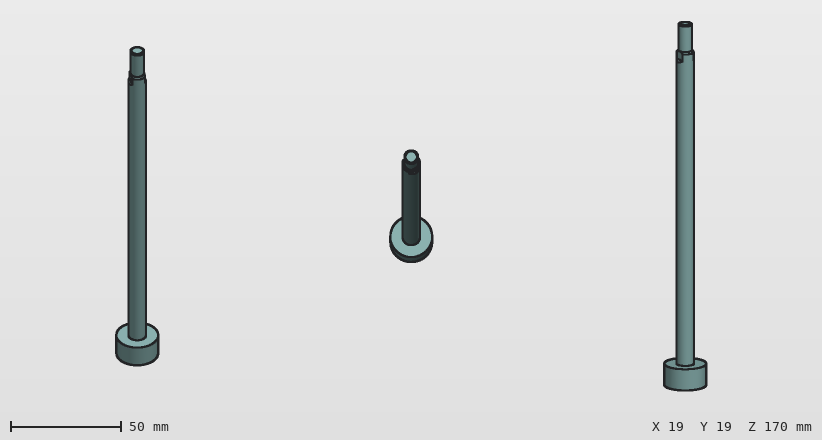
import cadquery as cq

total_length = 170.0
head_diameter = 19.0
head_height = 10.0
rod_diameter = 8.0
stud_diameter = 6.3
stud_length = 12.6

stud_chamfer = 0.5
shoulder_chamfer = (rod_diameter - stud_diameter) / 2

across_flats = 6.0
flat_length = 4.0

shoulder_z = total_length - stud_length
rod_radius = rod_diameter / 2


def cylinder(diameter, bottom_z, top_z):
    return cq.Workplane("XY").workplane(offset=bottom_z).circle(diameter / 2).extrude(top_z - bottom_z)


def flat_cutter(side):
    """Wedge that cuts one flat, ending in a 45 degree ramp; side is -1 or +1 along Y."""
    flat_y = across_flats / 2
    ramp_top_z = shoulder_z - flat_length
    ramp_bottom_z = ramp_top_z - (rod_radius - flat_y)
    profile = [
        (side * flat_y, shoulder_z),
        (side * flat_y, ramp_top_z),
        (side * rod_radius, ramp_bottom_z),
        (side * rod_radius, shoulder_z),
    ]
    return cq.Workplane("YZ").polyline(profile).close().extrude(rod_radius, both=True)


head = cylinder(head_diameter, 0, head_height)

rod = cylinder(rod_diameter, head_height, shoulder_z).faces(">Z").chamfer(shoulder_chamfer)
for side in (-1, 1):
    rod = rod.cut(flat_cutter(side))

stud = cylinder(stud_diameter, shoulder_z, total_length).faces(">Z").chamfer(stud_chamfer)

result = head.union(rod).union(stud)